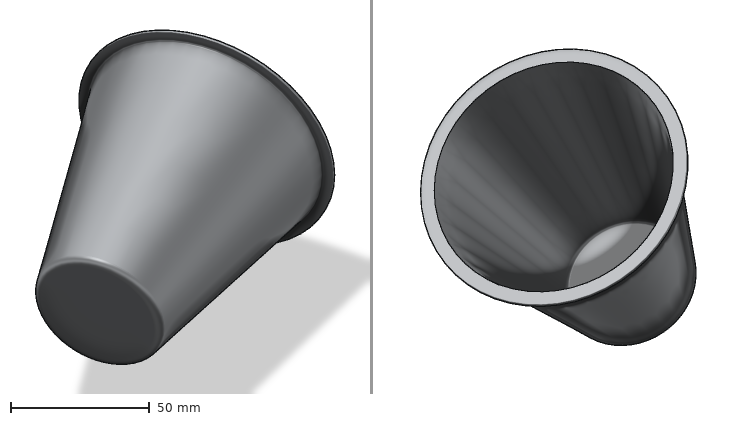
import cadquery as cq
import math

height = 100.0
rim_diameter = 100.0
base_radius = 24.8
mouth_radius = 46.2
wall = 1.4
base_round = 3.0
neck_round = 1.0
rim_edge_round = 0.3

taper = (mouth_radius - base_radius) / height
radial_wall = wall * math.hypot(1, taper)


def outer_radius(y):
    """Outer cone radius at position y along the axis."""
    return mouth_radius + taper * y


def revolve_profile(points):
    """Revolve a closed (radius, y) outline about the Y axis."""
    return cq.Workplane("XY").polyline(points).close().revolve(360, (0, 0), (0, 1))


def make_tapered_body(y_bottom, y_top, radial_inset, bottom_round):
    """Solid cone with a rounded bottom edge, inset from the outer cone."""
    body = revolve_profile([
        (0, y_bottom),
        (outer_radius(y_bottom) - radial_inset, y_bottom),
        (outer_radius(y_top) - radial_inset, y_top),
        (0, y_top),
    ])
    return body.faces("<Y").edges().fillet(bottom_round)


def make_rim():
    """Flat disc at the mouth with rounded outer edges."""
    rim = cq.Workplane("XZ").circle(rim_diameter / 2).extrude(wall)
    return rim.edges("%CIRCLE").fillet(rim_edge_round)


outer = make_tapered_body(-height, 0, 0, base_round).union(make_rim())

neck_radius = outer_radius(-wall)
neck_edge = cq.selectors.BoxSelector(
    (-neck_radius - wall, -1.5 * wall, -neck_radius - wall),
    (neck_radius + wall, -wall / 2, neck_radius + wall),
    boundingbox=True,
)
outer = outer.edges("%CIRCLE").edges(neck_edge).fillet(neck_round)

cavity = make_tapered_body(wall - height, 0, radial_wall, base_round - wall)
result = outer.cut(cavity)